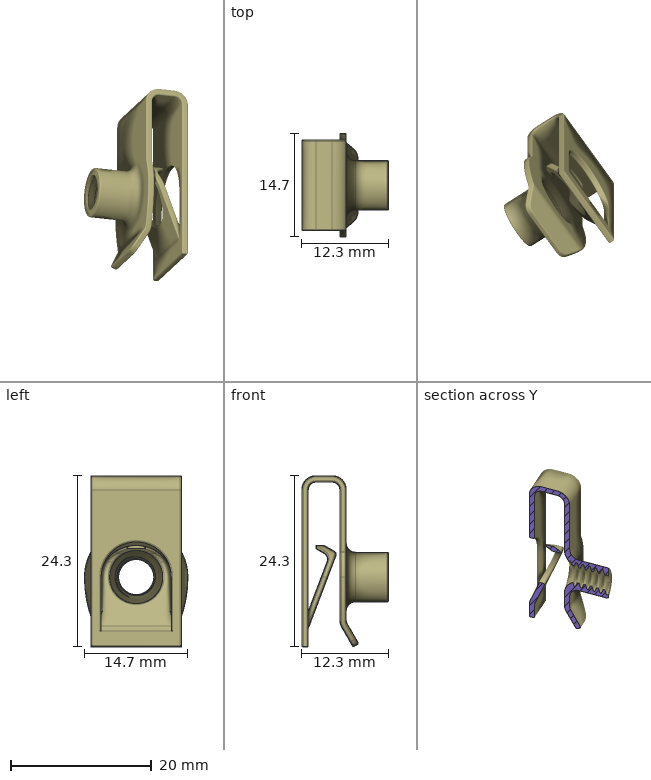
import cadquery as cq
import math

sheet = 0.9
height = 24.3
clip_depth = 6.3
half_width = 6.45
bend_radius = 2.0
edge_round = 0.2
axis_z = 9.91

wing_span = 14.7
wing_radius = wing_span / 2
wing_lower_radius = 17.5
flap_angle = 30.0
flap_bend_z = 3.25
wing_notch_radius = 0.25
flap_corner_radius = 1.5

barrel_end_x = 12.3
barrel_radius = 3.52
bore_radius = 2.5
barrel_root_radius = 1.3
bore_flare_radius = 2.0
thread_radius = 3.01
thread_pitch = 1.0
thread_start_x = 5.93
thread_end_x = 12.15
thread_mouth_width = 0.83
thread_root_width = 0.15
thread_mouth_overlap = 0.12

window_half_width = 4.98
tongue_angle = 20.8
tongue_sheet = 0.85
tongue_foot_z = 2.25
tongue_root_z = 2.65
tongue_top_z = 14.4
hook_angle = 30.0
hook_sheet = 0.95
hook_end_x = 2.02
hook_end_z = 13.95
hook_inner_radius = 1.0
hook_outer_radius = 0.49
tongue_hole_radius = 3.77

across_share = 0.95
tolerance = 0.02

longest_thickness_edge = 1.1 * sheet
inner_x = clip_depth - sheet
wing_top_z = axis_z + math.sqrt(wing_radius**2 - half_width**2)
tongue_slope = math.tan(math.radians(tongue_angle))
hook_slope = math.tan(math.radians(hook_angle))


def extrude_across(points):
    """Closed XZ outline extruded symmetrically, wide enough for the whole part."""
    return cq.Workplane("XZ").polyline(points).close().extrude(wing_radius, both=True)


def near(x, z):
    """Selects the edges that run across the part at the given X and Z."""
    return cq.selectors.BoxSelector(
        (x - tolerance, -height, z - tolerance),
        (x + tolerance, height, z + tolerance),
    )


def pick_edges(part, test):
    """Selects the edges for which the test holds."""
    return part.newObject([edge for edge in part.edges().vals() if test(edge)])


def runs_across(edge):
    """True for edges along Y, or nearly so."""
    return abs(edge.endPoint().y - edge.startPoint().y) > across_share * edge.Length()


def front_leg_outline():
    """YZ outline of the front leg: straight top, wings bulging around the axis, tapering flap."""
    wing_mid_angle = math.acos(half_width / wing_radius) / 2
    wing_mid_y = wing_radius * math.cos(wing_mid_angle)
    wing_mid_z = axis_z + wing_radius * math.sin(wing_mid_angle)

    def taper_y(z):
        return wing_radius - wing_lower_radius + math.sqrt(wing_lower_radius**2 - (axis_z - z)**2)

    return (
        cq.Workplane("YZ", origin=(inner_x - sheet, 0, 0))
        .moveTo(-half_width, height)
        .lineTo(half_width, height)
        .lineTo(half_width, wing_top_z)
        .threePointArc((wing_mid_y, wing_mid_z), (wing_radius, axis_z))
        .threePointArc((taper_y(axis_z / 2), axis_z / 2), (taper_y(0), 0))
        .lineTo(-taper_y(0), 0)
        .threePointArc((-taper_y(axis_z / 2), axis_z / 2), (-wing_radius, axis_z))
        .threePointArc((-wing_mid_y, wing_mid_z), (-half_width, wing_top_z))
        .close()
    )


def make_bent_strip():
    """U-bent strip with a flared flap at the foot of the front leg, full width throughout."""
    flap = math.radians(flap_angle)
    flap_run = flap_bend_z * math.tan(flap)
    outer_bend_z = flap_bend_z + sheet * math.tan(flap / 2)
    strip = extrude_across([
        (0, 0),
        (0, height),
        (clip_depth, height),
        (clip_depth, outer_bend_z),
        (inner_x + flap_run + sheet * math.cos(flap), sheet * math.sin(flap)),
        (inner_x + flap_run, 0),
        (inner_x, flap_bend_z),
        (inner_x, height - sheet),
        (sheet, height - sheet),
        (sheet, 0),
    ])
    bend_inner_radius = bend_radius - sheet
    bends = [
        (0, height, bend_radius),
        (clip_depth, height, bend_radius),
        (sheet, height - sheet, bend_inner_radius),
        (inner_x, height - sheet, bend_inner_radius),
        (inner_x, flap_bend_z, bend_radius),
        (clip_depth, outer_bend_z, bend_inner_radius),
    ]
    for x, z, radius in bends:
        strip = strip.edges(near(x, z)).fillet(radius)
    return strip


def make_clip():
    """Bent strip trimmed to its outlines, with rounded sheet edges."""
    back = cq.Workplane("XY").box(inner_x, 2 * half_width, height, centered=(False, True, False))
    clip = make_bent_strip().intersect(back.union(front_leg_outline().extrude(clip_depth)))

    def is_flap_corner(edge):
        center = edge.Center()
        through_sheet = edge.Length() < longest_thickness_edge and not runs_across(edge)
        return through_sheet and center.x > clip_depth and center.z < sheet

    def is_wing_notch(edge):
        return edge.Center().x > inner_x + edge_round and abs(edge.Center().z - wing_top_z) < tolerance

    def is_rim(edge):
        return edge.Length() > longest_thickness_edge and not runs_across(edge)

    def is_back_foot(edge):
        return edge.Center().x < inner_x / 2 and edge.Center().z < tolerance and runs_across(edge)

    clip = pick_edges(clip, is_flap_corner).fillet(flap_corner_radius)
    clip = pick_edges(clip, is_wing_notch).fillet(wing_notch_radius)
    return pick_edges(clip, lambda edge: is_rim(edge) or is_back_foot(edge)).fillet(edge_round)


def cut_window(clip):
    """Arched window in the back leg, rounded along its rims."""
    window = (
        cq.Workplane("YZ", origin=(-sheet, 0, 0))
        .moveTo(-window_half_width, tongue_foot_z)
        .lineTo(window_half_width, tongue_foot_z)
        .lineTo(window_half_width, axis_z)
        .threePointArc((0, axis_z + window_half_width), (-window_half_width, axis_z))
        .close()
        .extrude(3 * sheet)
    )
    clip = clip.cut(window)

    def is_rim(edge):
        """Sides and arch of the window, on both faces of the back leg."""
        center = edge.Center()
        on_leg_face = min(abs(center.x), abs(center.x - sheet)) < tolerance
        in_height = tongue_foot_z + tolerance < center.z < axis_z + window_half_width + tolerance
        return on_leg_face and in_height and abs(center.y) < window_half_width + tolerance

    return pick_edges(clip, is_rim).fillet(edge_round)


def make_tongue():
    """Spring tongue sloping into the clip, with its hooked and arched end."""
    outer_face_z = tongue_root_z - tongue_sheet / math.sin(math.radians(tongue_angle))

    def slope_z(x, face_z):
        return face_z + x / tongue_slope

    def corner(face_z, hook_x, hook_z):
        """Where a sloping face meets a hook face."""
        x = (hook_z + hook_x * hook_slope - face_z) / (1 / tongue_slope + hook_slope)
        return x, slope_z(x, face_z)

    hook_upper_z = hook_end_z + hook_sheet / math.cos(math.radians(hook_angle))
    inner_corner = corner(tongue_root_z, hook_end_x, hook_end_z)
    outer_corner = corner(outer_face_z, hook_end_x, hook_upper_z)
    tongue = extrude_across([
        (0, tongue_foot_z),
        (0, tongue_root_z),
        inner_corner,
        (hook_end_x, hook_end_z),
        (hook_end_x, hook_upper_z),
        outer_corner,
        (sheet, slope_z(sheet, outer_face_z)),
        (sheet, tongue_foot_z),
    ])
    tongue = tongue.edges(near(*inner_corner)).fillet(hook_inner_radius)
    tongue = tongue.edges(near(*outer_corner)).fillet(hook_outer_radius)
    tongue = tongue.edges(near(0, tongue_root_z)).fillet(bend_radius)
    outline = (
        cq.Workplane("YZ")
        .moveTo(-window_half_width, 0)
        .lineTo(window_half_width, 0)
        .lineTo(window_half_width, axis_z)
        .ellipseArc(window_half_width, tongue_top_z - axis_z, 0, 180, startAtCurrent=True)
        .close()
        .extrude(clip_depth)
    )
    tongue = tongue.intersect(outline)

    def is_crease_across_thickness(edge):
        """The end of the straight side, where the arched end begins."""
        return abs(edge.Center().z - axis_z) < tolerance

    def is_side(edge):
        """Long edges of the part of the tongue standing clear of the back leg."""
        is_long = edge.Length() > sheet / 2 and not runs_across(edge)
        return is_long and edge.Center().x > sheet and not is_crease_across_thickness(edge)

    def is_hole_rim(edge):
        ends = (edge.startPoint(), edge.endPoint())
        on_hole = all(abs(math.hypot(p.y, p.z - axis_z) - tongue_hole_radius) < tolerance for p in ends)
        return on_hole and not is_crease_across_thickness(edge)

    root = tongue.intersect(cq.Workplane("XY").box(2 * sheet, 2 * height, 2 * height))
    blade = pick_edges(tongue, is_side).fillet(edge_round)
    hole = cq.Workplane("YZ").center(0, axis_z).circle(tongue_hole_radius).extrude(inner_x)
    blade = pick_edges(blade.cut(hole), is_hole_rim).fillet(edge_round)
    return blade.union(root)


def turn_about_axis(profile):
    """Closes an open radial profile and revolves it about the common axis."""
    return profile.close().revolve(360, (0, 0, 0), (1, 0, 0)).translate((0, 0, axis_z))


def make_barrel():
    """Solid barrel blending into the outer face of the front leg."""
    blend = barrel_root_radius * math.sqrt(0.5)
    root_x = clip_depth + barrel_root_radius
    root_r = barrel_radius + barrel_root_radius
    return turn_about_axis(
        cq.Workplane("XY")
        .moveTo(inner_x + edge_round, 0)
        .lineTo(inner_x + edge_round, root_r)
        .lineTo(clip_depth, root_r)
        .threePointArc((root_x - blend, root_r - blend), (root_x, barrel_radius))
        .lineTo(barrel_end_x, barrel_radius)
        .lineTo(barrel_end_x, 0)
    ).faces(">X").edges().fillet(edge_round)


def make_bore():
    """Bore with a rounded entry at the inner face of the front leg."""
    blend = bore_flare_radius * math.sqrt(0.5)
    flare_x = inner_x + bore_flare_radius
    flare_r = bore_radius + bore_flare_radius
    return turn_about_axis(
        cq.Workplane("XZ")
        .moveTo(inner_x, 0)
        .lineTo(inner_x, flare_r)
        .threePointArc((flare_x - blend, flare_r - blend), (flare_x, bore_radius))
        .lineTo(barrel_end_x + sheet, bore_radius)
        .lineTo(barrel_end_x + sheet, 0)
    )


def make_thread_groove():
    """Helical V groove of the right-hand internal thread."""
    mouth_radius = bore_radius - thread_mouth_overlap
    helix = cq.Wire.makeHelix(thread_pitch, thread_end_x - thread_start_x, bore_radius)
    groove = (
        cq.Workplane("XZ")
        .polyline([
            (mouth_radius, -thread_mouth_width / 2),
            (thread_radius, -thread_root_width / 2),
            (thread_radius, thread_root_width / 2),
            (mouth_radius, thread_mouth_width / 2),
        ])
        .close()
        .sweep(cq.Workplane(helix), isFrenet=True)
    )
    return groove.rotate((0, 0, 0), (0, 1, 0), 90).translate((thread_start_x, 0, axis_z))


clip = cut_window(make_clip()).union(make_tongue())
result = clip.union(make_barrel()).cut(make_bore()).cut(make_thread_groove())